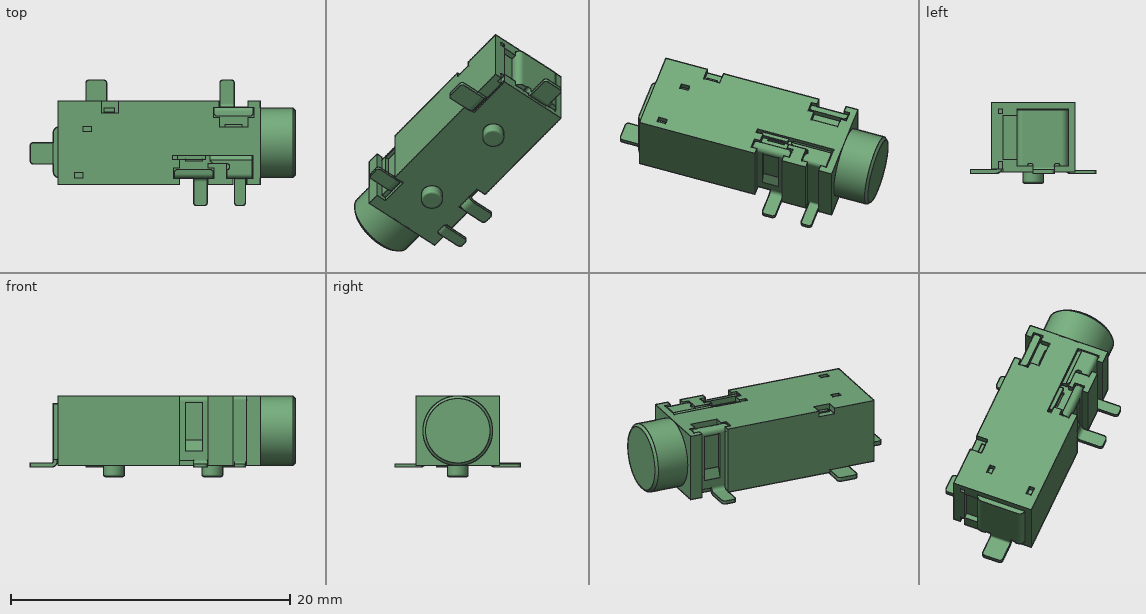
import cadquery as cq
import math


OVERALL_LENGTH = 19
BODY_LENGTH = 14.5
BODY_WIDTH = 6.0
BODY_HEIGHT = 5.0
HALF_WIDTH = BODY_WIDTH / 2
BARREL_LENGTH = 2.5
BARREL_DIAMETER = BODY_HEIGHT
BARREL_CHAMFER = 0.19
PIN_DIAMETER = 1.5
PIN_LENGTH = 0.8
PIN_POSITIONS = (4.0, 11.05)
PIN_EDGE_RADIUS = 0.15

QUARTER_ARC_RISE = math.sin(math.pi / 4)
QUARTER_ARC_RUN = 1 - math.cos(math.pi / 4)

TAB_BOTTOM = -0.11
TAB_SPAN = 9.0
THIN_SHEET = 0.25
THICK_SHEET = 0.3
TAB_CORNER = 0.23
WIDE_BEND = 0.27
TIGHT_BEND = 0.13

CONTACT_FACE = 2.55
CONTACT_INNER = 1.8
CONTACT_SLOT_WIDTH = 2.89
CONTACT_GAP = 0.05
CAP_SHOULDER = 4.56
CAP_BEND = 0.32
CAP_BEND_TOP = 4.94
CAP_CREST = 4.98
CAP_CORNER = 0.13
WELL_WIDTH = 2.03
WELL_INNER = 1.12
WINDOW_WIDTH = 1.22
WINDOW_BOTTOM = 1.06
WINDOW_TOP = 4.52
RAMP_TOP = 1.82
PIT_WIDTH = 0.19
PIT_DEPTH = 0.28
UNDERCUT_HEIGHT = 0.38
UNDERCUT_DEPTH = 0.3

NEAR_CONTACT_X = 9.73
FAR_CONTACT_X = 12.58
NEAR_TAB = (9.7, 10.7)
FAR_TAB = (11.59, 12.64)

FLAT_REAR = 10.9
FLAT_STEP = 12.06
FLAT_FRONT = 13.96
FLAT_INNER = 0.9
FLAT_ARM_EDGE = 1.48
FLAT_SHOULDER = 4.7
FLAT_TOP = 4.98
FLAT_BEND = 0.28
FLAT_SLOPE = 0.35
FLAT_CORNER = 0.19
FLAT_NOTCH_RADIUS = 0.23
SLIT_REAR = 8.2
SLIT_WIDTH = 0.28
STRIP_REAR = 8.55
STRIP_FRONT = 10.56
STRIP_DROP = 0.19
RECESS_DEPTH = 0.44
FLAT_OPENING_REAR = 12.54
FLAT_OPENING_FRONT = 13.5
FLAT_TAB = (12.64, 13.43)

PLATE_LEFT = 1.15
PLATE_RIGHT = -2.5
PLATE_BOTTOM = 0.45
PLATE_TOP = 4.45
PLATE_PROUD = 0.35
PLATE_EDGE_RADIUS = 0.45
PLATE_CLEARANCE = 0.05
PLATE_RECESS_DEPTH = 0.19
REAR_TAB_LENGTH = OVERALL_LENGTH - BODY_LENGTH - BARREL_LENGTH
REAR_TAB_LEFT = 0.02
REAR_TAB_WIDTH = 1.54
RELIEF_WIDTH = 0.38
RELIEF_HEIGHT = 0.17
RELIEF_RADIUS = 0.13

REAR_WINDOW_LEFT = 2.17
REAR_WINDOW_BOTTOM = 0.91
REAR_WINDOW_TOP = 4.05
REAR_WINDOW_DEPTH = 0.4
KEY_WIDTH = 0.3
KEY_INNER = 2.18
KEY_LEVELS = ((0.2, 0.76), (4.2, 4.5))
REAR_CONTACT_REAR = 2.0
REAR_CONTACT_WIDTH = 1.5
TAB_CLEARANCE_HEIGHT = 0.2

NOTCH_REAR = 3.14
NOTCH_FRONT = 4.35
NOTCH_INNER = 2.15
LATCH_REAR = 3.3
LATCH_FRONT = 4.07
LATCH_INNER = 2.2
LATCH_OUTER = 2.49
LATCH_HEIGHT = 0.1
POCKET_LENGTH = 0.63
POCKET_WIDTH = 0.38
POCKET_DEPTH = 0.38
POCKET_CENTERS = ((2.09, 0.99), (1.48, -2.32))


def block(x_range, y_range, z_range):
    """Box between two limits on each axis, given in either order."""
    x0, x1 = sorted(x_range)
    y0, y1 = sorted(y_range)
    z0, z1 = sorted(z_range)
    return cq.Workplane("XY").box(x1 - x0, y1 - y0, z1 - z0, centered=False).translate((x0, y0, z0))


def yz_prism(profile, x_range):
    """Extrude a closed Y-Z sketch along X; `profile` traces it on a plane at the start."""
    plane = cq.Workplane("YZ", origin=(x_range[0], 0, 0))
    return profile(plane).close().extrude(x_range[1] - x_range[0])


def round_bend(strip, inner, outer, bend_radius, sheet):
    """Round the inner and outer corners of an L-shaped strip; each corner is given by a point on it."""
    strip = strip.edges(cq.selectors.NearestToPointSelector(inner)).fillet(bend_radius)
    return strip.edges(cq.selectors.NearestToPointSelector(outer)).fillet(bend_radius + sheet)


def side_tab(x_range, side, sheet, bend_radius):
    """Solder tab running out along Y and curving up into the contact face."""
    top = TAB_BOTTOM + sheet
    tip = side * TAB_SPAN / 2
    face = side * CONTACT_FACE
    back = side * (CONTACT_FACE - sheet)
    riser_top = TAB_BOTTOM + 2 * sheet + WIDE_BEND
    tab = block(x_range, (tip, back), (TAB_BOTTOM, top))
    tab = tab.union(block(x_range, (face, back), (TAB_BOTTOM, riser_top)))
    middle = sum(x_range) / 2
    tab = round_bend(tab, (middle, face, top), (middle, back, TAB_BOTTOM), bend_radius, sheet)
    return tab.faces(">Y" if side > 0 else "<Y").edges("|Z").fillet(TAB_CORNER)


def make_housing():
    """Rectangular housing with the round barrel and the two locating pins."""
    housing = block((0, BODY_LENGTH), (-HALF_WIDTH, HALF_WIDTH), (0, BODY_HEIGHT))
    barrel = (
        cq.Workplane("YZ", origin=(BODY_LENGTH, 0, BODY_HEIGHT / 2))
        .circle(BARREL_DIAMETER / 2)
        .extrude(BARREL_LENGTH)
        .faces(">X")
        .chamfer(BARREL_CHAMFER)
    )
    housing = housing.union(barrel)
    for x in PIN_POSITIONS:
        pin = cq.Workplane("XY", origin=(x, 0, 0)).circle(PIN_DIAMETER / 2).extrude(-PIN_LENGTH)
        housing = housing.union(pin.faces("<Z").edges().fillet(PIN_EDGE_RADIUS))
    return housing


def add_side_contact(body, center, side, tab_range):
    """Contact in a side opening: capped strip, shallow well, window with a ramp, and a solder tab."""
    def across(width):
        return (center - width / 2, center + width / 2)

    face = side * CONTACT_FACE
    inner = side * CONTACT_INNER
    well_back = side * WELL_INNER

    body = body.cut(block(across(WELL_WIDTH), (face, side * HALF_WIDTH), (0, BODY_HEIGHT)))
    body = body.cut(block(across(CONTACT_SLOT_WIDTH), (inner, face), (CAP_SHOULDER, BODY_HEIGHT)))
    body = body.cut(block(across(WELL_WIDTH), (well_back, inner), (CAP_SHOULDER, BODY_HEIGHT)))
    pit_edge = well_back + side * PIT_WIDTH
    pit_levels = (CAP_SHOULDER - PIT_DEPTH, CAP_SHOULDER)
    body = body.cut(block(across(WINDOW_WIDTH), (well_back, pit_edge), pit_levels))

    cap_end = inner + side * 2 * CONTACT_GAP
    bend_end = face - side * CAP_BEND
    cap_bend_middle = (face - side * CAP_BEND * QUARTER_ARC_RUN,
                       CAP_SHOULDER + (CAP_BEND_TOP - CAP_SHOULDER) * QUARTER_ARC_RISE)
    cap = yz_prism(
        lambda plane: plane.moveTo(face, CAP_SHOULDER)
        .threePointArc(cap_bend_middle, (bend_end, CAP_BEND_TOP))
        .lineTo(cap_end, CAP_CREST)
        .lineTo(cap_end, CAP_SHOULDER),
        across(CONTACT_SLOT_WIDTH - 2 * CONTACT_GAP),
    )
    cap = cap.faces("<Y" if side > 0 else ">Y").edges("|Z").chamfer(CAP_CORNER)
    body = body.union(cap)

    window_back = face - side * THIN_SHEET
    window = yz_prism(
        lambda plane: plane.moveTo(face, WINDOW_BOTTOM)
        .lineTo(face, WINDOW_TOP)
        .lineTo(window_back, WINDOW_TOP)
        .lineTo(window_back, RAMP_TOP),
        across(WINDOW_WIDTH),
    )
    body = body.cut(window)

    undercut_back = face - side * UNDERCUT_DEPTH
    body = body.cut(block(across(WELL_WIDTH), (face, undercut_back), (0, UNDERCUT_HEIGHT)))
    return body.union(side_tab(tab_range, side, THIN_SHEET, WIDE_BEND))


def add_flat_contact(body):
    """L-shaped sheet in the top face, bent down along both long edges, with its own solder tab."""
    floor = BODY_HEIGHT - RECESS_DEPTH
    depth = (floor, BODY_HEIGHT)
    well_edge = NEAR_CONTACT_X + WELL_WIDTH / 2
    body = body.cut(block((well_edge, FLAT_FRONT), (-FLAT_INNER, -FLAT_ARM_EDGE), depth))
    body = body.cut(block((FLAT_STEP, FLAT_FRONT), (-FLAT_INNER, -CONTACT_FACE), depth))
    slit = (-FLAT_INNER, -FLAT_INNER - SLIT_WIDTH)
    body = body.cut(block((SLIT_REAR, FLAT_REAR), slit, depth))
    body = body.union(block((STRIP_REAR, STRIP_FRONT), slit, (floor, BODY_HEIGHT - STRIP_DROP)))
    opening = block((FLAT_OPENING_REAR, FLAT_OPENING_FRONT), (-CONTACT_FACE, -HALF_WIDTH), (0, BODY_HEIGHT))
    body = body.cut(opening)

    sheet_front = FLAT_FRONT - CONTACT_GAP
    arm = block((FLAT_REAR, sheet_front), (-FLAT_INNER, -FLAT_ARM_EDGE), depth)
    arm = arm.edges("|Z and <X and <Y").chamfer(FLAT_CORNER)
    leg = block((FLAT_STEP + CONTACT_GAP, sheet_front), (-FLAT_INNER, -CONTACT_FACE), depth)
    notch = (
        cq.Workplane("XY", origin=(FLAT_STEP, -FLAT_ARM_EDGE - FLAT_NOTCH_RADIUS, floor))
        .circle(FLAT_NOTCH_RADIUS)
        .extrude(RECESS_DEPTH)
    )
    bend_middle = (-CONTACT_FACE + FLAT_BEND * QUARTER_ARC_RUN,
                   FLAT_SHOULDER + (FLAT_TOP - FLAT_SHOULDER) * QUARTER_ARC_RISE)
    section = yz_prism(
        lambda plane: plane.moveTo(-CONTACT_FACE, floor)
        .lineTo(-CONTACT_FACE, FLAT_SHOULDER)
        .threePointArc(bend_middle, (-CONTACT_FACE + FLAT_BEND, FLAT_TOP))
        .lineTo(-FLAT_INNER - FLAT_SLOPE, FLAT_TOP)
        .lineTo(-FLAT_INNER, FLAT_SHOULDER)
        .lineTo(-FLAT_INNER, floor),
        (FLAT_REAR, sheet_front),
    )
    body = body.union(section.intersect(arm.union(leg)).cut(notch))
    return body.union(side_tab(FLAT_TAB, -1, THIN_SHEET, TIGHT_BEND))


def add_rear_contact(body):
    """Rounded plate on the rear face with relief notches beside its solder tab."""
    recess = block((0, PLATE_RECESS_DEPTH), (PLATE_LEFT, PLATE_RIGHT),
                   (PLATE_BOTTOM, PLATE_TOP + PLATE_CLEARANCE))
    body = body.cut(recess)
    plate = block((-PLATE_PROUD, PLATE_RECESS_DEPTH), (PLATE_LEFT, PLATE_RIGHT), (PLATE_BOTTOM, PLATE_TOP))
    plate = plate.faces("<X").edges("|Z").fillet(PLATE_EDGE_RADIUS)
    tab_right = REAR_TAB_LEFT - REAR_TAB_WIDTH
    for start, direction in ((REAR_TAB_LEFT, 1), (tab_right, -1)):
        relief = block((-PLATE_PROUD, PLATE_RECESS_DEPTH), (start, start + direction * RELIEF_WIDTH),
                       (PLATE_BOTTOM, PLATE_BOTTOM + RELIEF_HEIGHT))
        plate = plate.cut(relief.edges("|X and >Z").fillet(RELIEF_RADIUS))
    body = body.union(plate)

    tab_top = TAB_BOTTOM + THICK_SHEET
    tab_width = (REAR_TAB_LEFT, tab_right)
    inner_x = -PLATE_PROUD
    outer_x = inner_x + THICK_SHEET
    tab = block((-REAR_TAB_LENGTH, outer_x), tab_width, (TAB_BOTTOM, tab_top))
    tab = tab.union(block((inner_x, outer_x), tab_width, (TAB_BOTTOM, PLATE_BOTTOM + RELIEF_HEIGHT)))
    middle = sum(tab_width) / 2
    tab = round_bend(tab, (inner_x, middle, tab_top), (outer_x, middle, TAB_BOTTOM), TIGHT_BEND, THICK_SHEET)
    return body.union(tab.faces("<X").edges("|Z").fillet(TAB_CORNER))


def cut_rear_openings(body):
    """Window, key slots and tab clearance at the +Y end of the rear face."""
    window_levels = (REAR_WINDOW_BOTTOM, REAR_WINDOW_TOP)
    window = block((0, REAR_WINDOW_DEPTH), (PLATE_LEFT, REAR_WINDOW_LEFT), window_levels)
    body = body.cut(window)
    for levels in KEY_LEVELS:
        key = block((0, REAR_WINDOW_DEPTH), (KEY_INNER, KEY_INNER + KEY_WIDTH), levels)
        body = body.cut(key)
    tab_end = REAR_CONTACT_REAR + REAR_CONTACT_WIDTH
    clearance = block((0, tab_end), (REAR_WINDOW_LEFT, HALF_WIDTH), (0, TAB_CLEARANCE_HEIGHT))
    body = body.cut(clearance)
    return body.union(side_tab((REAR_CONTACT_REAR, tab_end), 1, THICK_SHEET, TIGHT_BEND))


def cut_top_pockets(body):
    """Edge notch with a latch end in it, and two small rectangular pockets."""
    floor = BODY_HEIGHT - RECESS_DEPTH
    body = body.cut(block((NOTCH_REAR, NOTCH_FRONT), (NOTCH_INNER, HALF_WIDTH), (floor, BODY_HEIGHT)))
    latch = block((LATCH_REAR, LATCH_FRONT), (LATCH_INNER, LATCH_OUTER), (floor, floor + LATCH_HEIGHT))
    body = body.union(latch)
    pockets = (
        cq.Workplane("XY", origin=(0, 0, BODY_HEIGHT))
        .pushPoints(POCKET_CENTERS)
        .rect(POCKET_LENGTH, POCKET_WIDTH)
        .extrude(-POCKET_DEPTH)
    )
    return body.cut(pockets)


result = make_housing()
result = add_side_contact(result, NEAR_CONTACT_X, -1, NEAR_TAB)
result = add_side_contact(result, FAR_CONTACT_X, 1, FAR_TAB)
result = add_flat_contact(result)
result = cut_rear_openings(result)
result = add_rear_contact(result)
result = cut_top_pockets(result)